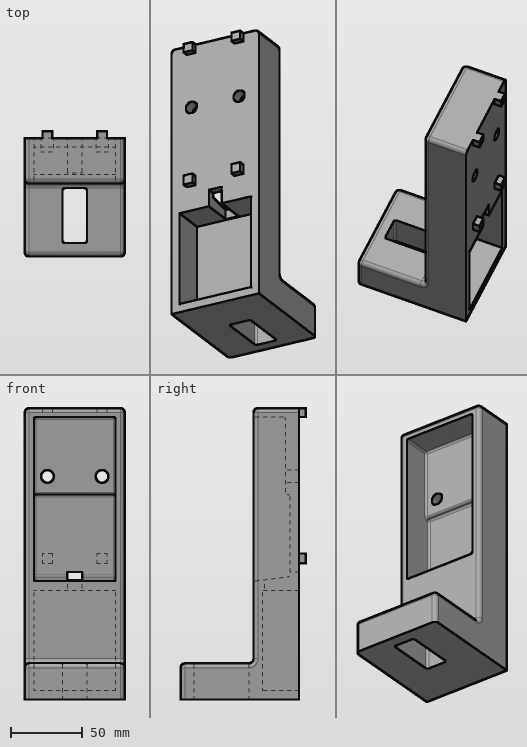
import cadquery as cq

width = 69.85
height = 203.2
column_depth = 31.75
foot_length = 82.55
foot_height = 25.4
edge_radius = 3.175

wall = 6.35
inner_width = width - 2 * wall

recess_height = 114.3
recess_top = height - wall
recess_bottom = recess_top - recess_height
recess_back = -wall
step_thickness = 3.175
step_drop = 60.325
step_z = height - step_drop
floor_rise = 3.175
recess_radius = 1.5

cavity_depth = column_depth - wall
cavity_bottom = wall
cavity_top = recess_bottom - wall

slot_width = 10.16
slot_front = -24.13
slot_rise = 6.35
slot_top = recess_bottom + slot_rise

peg_pitch_x = 38.1
pair_positions_x = (-peg_pitch_x / 2, peg_pitch_x / 2)
screw_hole_diameter = 8.73
screw_hole_drop = 47.625
screw_hole_z = height - screw_hole_drop

peg_length = 4.83
peg_root = wall / 2
peg_size = 7.0
top_peg_height = 6.35
peg_pitch_z = 101.6
lower_peg_z = height - top_peg_height / 2 - peg_pitch_z

opening_width = 17.0
opening_length = 38.1
opening_back = -column_depth - edge_radius
opening_radius = 1.5875


def box_between(x_size, y_min, y_max, z_min, z_max):
    """Box centred on X = 0 that spans the given Y and Z ranges."""
    box = cq.Workplane("XY").box(x_size, y_max - y_min, z_max - z_min, centered=(True, False, False))
    return box.translate((0, y_min, z_min))


def round_other_edges(solid, sharp_edges, radius):
    """Fillet every edge of the solid except the given sharp ones."""
    sharp = sharp_edges.vals()
    rounded = [edge for edge in solid.edges().vals() if not any(edge.isSame(other) for other in sharp)]
    return solid.newObject(rounded).fillet(radius)


def make_body():
    """L-shaped body, rounded along every edge except those of the back and bottom faces."""
    profile = [
        (0, 0),
        (-foot_length, 0),
        (-foot_length, foot_height),
        (-column_depth, foot_height),
        (-column_depth, height),
        (0, height),
    ]
    body = cq.Workplane("YZ").polyline(profile).close().extrude(width / 2, both=True)
    return round_other_edges(body, body.faces(">Y or <Z").edges(), edge_radius)


def make_recess():
    """Solid removed for the front recess, rounded along every edge behind its mouth."""
    step_back = recess_back - step_thickness
    profile = [
        (-column_depth, recess_bottom),
        (recess_back, recess_bottom + floor_rise),
        (recess_back, step_z),
        (step_back, step_z),
        (step_back, recess_top),
        (-column_depth, recess_top),
    ]
    recess = cq.Workplane("YZ").polyline(profile).close().extrude(inner_width / 2, both=True)
    return round_other_edges(recess, recess.faces("<Y").edges(), recess_radius)


def make_rear_cavity():
    return box_between(inner_width, -cavity_depth, 0, cavity_bottom, cavity_top)


def make_cable_slot():
    return box_between(slot_width, slot_front, 0, cavity_top, slot_top)


def make_foot_opening():
    opening = box_between(opening_width, opening_back - opening_length, opening_back, 0, foot_height)
    return opening.edges("|Z").fillet(opening_radius)


def make_screw_holes():
    centres = [(x, screw_hole_z) for x in pair_positions_x]
    return cq.Workplane("XZ").pushPoints(centres).circle(screw_hole_diameter / 2).extrude(column_depth)


def add_pegs(body):
    """Add an upper and a lower peg at each X position; the upper ones end flush with the top face."""
    upper_span = (height - top_peg_height, height)
    lower_span = (lower_peg_z - peg_size / 2, lower_peg_z + peg_size / 2)
    for x in pair_positions_x:
        for z_min, z_max in (upper_span, lower_span):
            peg = box_between(peg_size, -peg_root, peg_length, z_min, z_max)
            body = body.union(peg.translate((x, 0, 0)))
    return body


body = make_body()
for cutter in (make_recess(), make_rear_cavity(), make_cable_slot(), make_foot_opening(), make_screw_holes()):
    body = body.cut(cutter)

result = add_pegs(body)